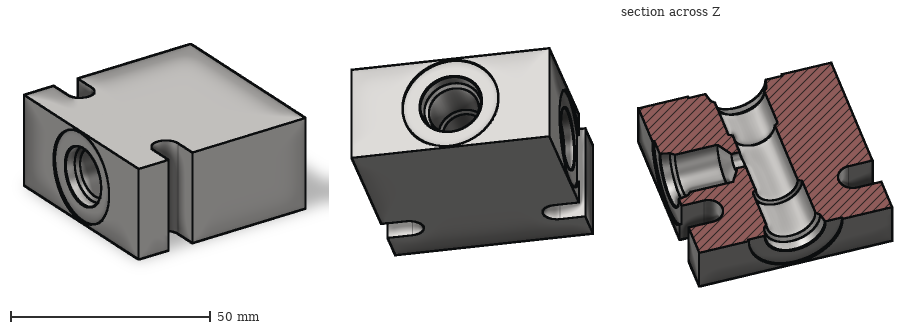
import cadquery as cq
import math

side = 50.8
height = 25.4

slot_width = 7.25
slot_depth = 10.05
slot_centre_y = -12.7

spotface_diameter = 24.65
spotface_depth = 0.5
mouth_diameter = 16.05
mouth_chamfer = 0.2
seat_diameter = 14.7
seat_depth = 3.05
thread_diameter = 12.85
thread_start_depth = 4.05
thread_end_depth = 15.25

through_diameter = 10.95
side_port_y = 1.25
pilot_diameter = 4.8
drill_half_angle = math.radians(59)


def drill_cone_length(large_diameter, small_diameter):
    """Axial length of a drill cone between two diameters."""
    return (large_diameter - small_diameter) / 2 / math.tan(drill_half_angle)


def port_profile():
    """Radius and depth points from the outer face to the end of the thread bore."""
    return [
        (0, 0),
        (spotface_diameter / 2, 0),
        (spotface_diameter / 2, spotface_depth),
        (mouth_diameter / 2, spotface_depth),
        (mouth_diameter / 2 - mouth_chamfer, spotface_depth + mouth_chamfer),
        (seat_diameter / 2, seat_depth),
        (thread_diameter / 2, thread_start_depth),
        (thread_diameter / 2, thread_end_depth),
    ]


def revolve_along_y(points):
    """Turn a radius and depth profile about the Y axis, depth running towards +Y."""
    return cq.Workplane("XY").polyline(points).close().revolve(360, (0, 0, 0), (0, 1, 0))


def end_port():
    """Port in the -Y face whose drill cone narrows to the through passage."""
    cone_end = thread_end_depth + drill_cone_length(thread_diameter, through_diameter)
    points = port_profile() + [
        (through_diameter / 2, cone_end),
        (0, cone_end),
    ]
    return revolve_along_y(points).translate((0, -side / 2, height / 2))


def side_port():
    """Port in the -X face whose pilot hole opens into the through passage at its axis."""
    cone_end = thread_end_depth + drill_cone_length(thread_diameter, pilot_diameter)
    pilot_end = side / 2
    points = port_profile() + [
        (pilot_diameter / 2, cone_end),
        (pilot_diameter / 2, pilot_end),
        (0, pilot_end),
    ]
    cutter = revolve_along_y(points).rotate((0, 0, 0), (0, 0, 1), -90)
    return cutter.translate((-side / 2, side_port_y, height / 2))


def edge_slot(direction):
    """Full-height round-ended slot in the +X or -X face."""
    return (
        cq.Workplane("XY")
        .center(direction * side / 2, slot_centre_y)
        .slot2D(2 * slot_depth, slot_width)
        .extrude(height)
    )


result = cq.Workplane("XY").box(side, side, height, centered=(True, True, False))
for direction in (-1, 1):
    result = result.cut(edge_slot(direction))

passage_plane = cq.Workplane("XZ", origin=(0, side / 2, height / 2))
passage = passage_plane.circle(through_diameter / 2).extrude(side)
front_port = end_port()
result = result.cut(passage)
result = result.cut(front_port)
result = result.cut(front_port.mirror("XZ"))
result = result.cut(side_port())